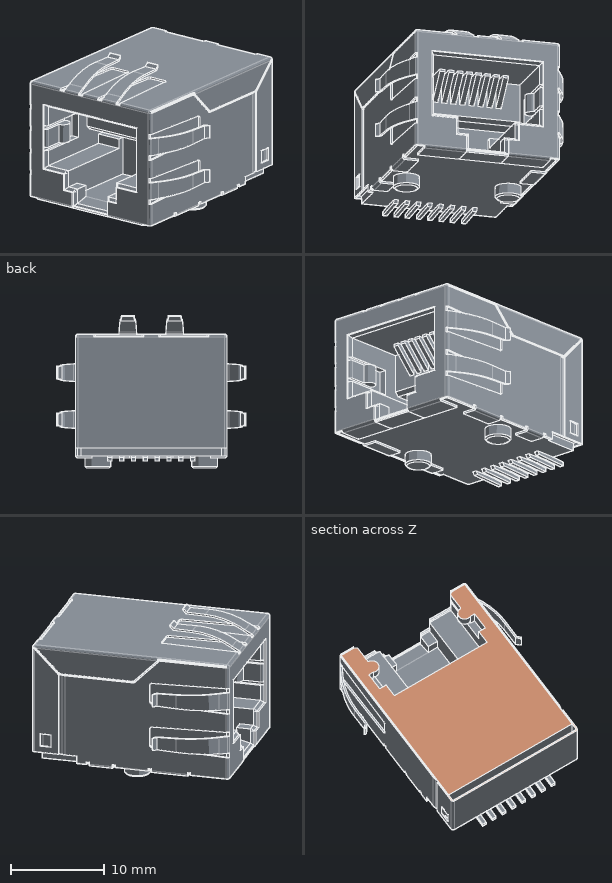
import cadquery as cq
import math

MITRE = math.tan(math.radians(22.5))


WIDTH = 16.24
HALF_WIDTH = WIDTH / 2
DEPTH = 21.93
HEIGHT = 13.28
SHEET = 0.2
BEND_RADIUS = 0.3
INNER_BEND = BEND_RADIUS - SHEET

WALL_BOTTOM = SHEET
REAR_STEP_Y = 16.94
REAR_STEP_Z = 1.05

FRONT_TAB_INNER_X = 2.35
FRONT_TAB_OUTER_X = 7.05
FRONT_TAB_LENGTH = 2.78
SIDE_TAB_INNER_X = 6.32
SIDE_TABS_Y = [(4.63, 8.65), (13.0, 15.55)]
RELIEF_WIDTH = 0.34
RELIEF_TOP = 0.5

FLAP_FRONT_Y = 7.95
FLAP_REAR_Y = 21.52
FLAP_TOP = HEIGHT - BEND_RADIUS
FLAP_BOTTOM = 10.32
SLIT = 0.15

JOGGLE_FRONT_Y = 18.22
JOGGLE_REAR_Y = 18.95
JOGGLE_DEPTH = 0.14

WINDOW_Y = (19.83, 21.05)
WINDOW_Z = (1.78, 3.18)

REAR_SLOT_X = (0.81, 6.15)
REAR_SLOT_FRONT_Y = 21.43
REAR_SLOT_CORNER = 0.15

SPRING_OFFSET = 2.5
SIDE_SPRING_MID_Z = 6.64
SPRING_ROOT_HALF = 0.97
SPRING_TIP_HALF = 0.7
SPRING_ARC_START_Y = 0.97
SPRING_ARC_START_H = 0.38
SPRING_FLAT_START_Y = 5.45
SPRING_FLAT_END_Y = 7.52
SPRING_FLAT_H = 1.63
SPRING_TIP_RUN = 0.38
SPRING_TIP_CORNER = 0.14
SPRING_SLOT_LENGTH = 8.83
SPRING_SLOT_ROOT_HALF = 1.47
SPRING_SLOT_TIP_HALF = 1.17
SPRING_SLOT_CORNER = 0.18

HOUSING_REAR_Y = 20.95
HOUSING_HALF_WIDTH = HALF_WIDTH - SHEET
HOUSING_TOP = HEIGHT - SHEET
REAR_FOOT_INSET = 0.38
LATCH_RAMP_REAR_Y = 20.73
LATCH_ROOT_X = 6.77

MOUTH_HALF = 6.25
MOUTH_TOP = 11.0
LEDGE_Z = 3.65
CHANNEL_HALF = 3.52
LUG_Z = 1.83
LATCH_HALF = FRONT_TAB_INNER_X
MOUTH_CHAMFER = 0.32

LUG_REAR_Y = 2.03
FLOOR_Z = 0.88
CAVITY_REAR_Y = 10.15
COMB_FACE_Y = 7.45
COMB_BOTTOM = 6.5
COMB_CHAMFER = 0.43
REST_LENGTH = 0.68
REST_TOP = 5.04

POCKET_Z = (5.7, 8.51)
POCKET_HALF = 6.77
POCKET_REAR_Y = 5.87
ARM_Z = (6.07, 8.13)
ARM_REAR_Y = 3.84
BUMP_RADIUS = 0.75
BUMP_Y = 3.15

CONTACT_COUNT = 8
CONTACT_PITCH = 1.02
CONTACT_WIDTH = 0.59
CONTACT_FRONT_Y = 4.85
CONTACT_BEND_Z = 10.43
CONTACT_LOW_Z = 7.8
PIN_PITCH = 1.26
PIN_WIDTH = 0.47
PIN_TIP_Y = 22.58
PIN_HEEL_Y = 18.45
PIN_HEEL_RUN = 0.27
PIN_SHOULDER_Y = 21.23
PIN_SOLE_Z = -0.14
PIN_TIP_Z = (-0.32, 0.1)

PEG_X = 5.71
PEG_Y = 10.85
PEG_DIAMETER = 2.8
PEG_BOTTOM = -1.05
PEG_CHAMFER = 0.18


def block(x_range, y_range, z_range):
    """Axis-aligned block from its limits."""
    size = [high - low for low, high in (x_range, y_range, z_range)]
    corner = (x_range[0], y_range[0], z_range[0])
    return cq.Workplane("XY").box(*size, centered=False).translate(corner)


def both_sides(shape):
    """The shape together with its mirror image across the middle plane."""
    return shape.union(shape.mirror("YZ"))


def prism_across_x(points, x_start, x_end):
    """Outline of (y, z) points carried from x_start to x_end."""
    return cq.Workplane("YZ").polyline(points).close().extrude(x_end - x_start).translate((x_start, 0, 0))


def opening_outline(bottom):
    """Stepped plug opening as (x, z) points, open at the bottom step."""
    right = [
        (LATCH_HALF, bottom),
        (LATCH_HALF, LUG_Z),
        (CHANNEL_HALF, LUG_Z),
        (CHANNEL_HALF, LEDGE_Z),
        (MOUTH_HALF, LEDGE_Z),
        (MOUTH_HALF, MOUTH_TOP),
    ]
    left = [(-x, z) for x, z in reversed(right)]
    return right + left


def shield_shell():
    """Closed sheet box with rounded bends."""
    outer = block((-HALF_WIDTH, HALF_WIDTH), (0, DEPTH), (0, HEIGHT)).edges().fillet(BEND_RADIUS)
    inner = block(
        (-HOUSING_HALF_WIDTH, HOUSING_HALF_WIDTH), (SHEET, DEPTH - SHEET), (SHEET, HOUSING_TOP)
    ).edges().fillet(INNER_BEND)
    return outer.cut(inner)


def underside_cut():
    """Everything removed below the walls, leaving the folded tabs."""
    cut = block((-HALF_WIDTH, HALF_WIDTH), (0, DEPTH), (0, WALL_BOTTOM))
    front_tab = block((FRONT_TAB_INNER_X, FRONT_TAB_OUTER_X), (0, FRONT_TAB_LENGTH), (0, WALL_BOTTOM))
    cut = cut.cut(both_sides(front_tab))
    for tab_y in SIDE_TABS_Y:
        side_tab = block((SIDE_TAB_INNER_X, HALF_WIDTH), tab_y, (0, WALL_BOTTOM))
        cut = cut.cut(both_sides(side_tab))
        for relief_y in (tab_y[0] - RELIEF_WIDTH, tab_y[1]):
            relief = block(
                (HOUSING_HALF_WIDTH, HALF_WIDTH), (relief_y, relief_y + RELIEF_WIDTH), (0, RELIEF_TOP)
            )
            cut = cut.union(both_sides(relief))
    rear = block((-HALF_WIDTH, HALF_WIDTH), (REAR_STEP_Y, DEPTH), (0, REAR_STEP_Z))
    return cut.union(rear)


def flap_slit():
    """Slit around the side flap, running on to the front along the top bend."""
    run = FLAP_TOP - FLAP_BOTTOM
    end_gap = SLIT * math.sqrt(2)
    corner_gap = SLIT * MITRE
    outline = [
        (FLAP_FRONT_Y, FLAP_TOP),
        (FLAP_FRONT_Y + run, FLAP_BOTTOM),
        (FLAP_REAR_Y - run, FLAP_BOTTOM),
        (FLAP_REAR_Y, FLAP_TOP),
        (FLAP_REAR_Y + end_gap, FLAP_TOP),
        (FLAP_REAR_Y - run + corner_gap, FLAP_BOTTOM - SLIT),
        (FLAP_FRONT_Y + run - corner_gap, FLAP_BOTTOM - SLIT),
        (FLAP_FRONT_Y - end_gap, FLAP_TOP),
    ]
    slit = prism_across_x(outline, HOUSING_HALF_WIDTH, HALF_WIDTH)
    seam = block(
        (HOUSING_HALF_WIDTH, HALF_WIDTH), (BEND_RADIUS, FLAP_FRONT_Y), (FLAP_TOP, FLAP_TOP + SLIT)
    )
    return both_sides(slit.union(seam))


def joggle_cut():
    """S-shaped cut where each side panel curves in toward the rear flap."""
    mid_y = (JOGGLE_FRONT_Y + JOGGLE_REAR_Y) / 2
    mid_x = HALF_WIDTH - JOGGLE_DEPTH / 2
    clear_x = HALF_WIDTH + SHEET
    wedge = (
        cq.Workplane("XY")
        .moveTo(clear_x, JOGGLE_FRONT_Y - SHEET)
        .lineTo(HALF_WIDTH, JOGGLE_FRONT_Y - SHEET)
        .lineTo(HALF_WIDTH, JOGGLE_FRONT_Y)
        .tangentArcPoint((mid_x, mid_y), relative=False)
        .tangentArcPoint((HALF_WIDTH - JOGGLE_DEPTH, JOGGLE_REAR_Y), relative=False)
        .lineTo(clear_x, JOGGLE_REAR_Y)
        .close()
        .extrude(FLAP_BOTTOM - SLIT)
    )
    return both_sides(wedge)


def latch_windows():
    return both_sides(block((HOUSING_HALF_WIDTH, HALF_WIDTH), WINDOW_Y, WINDOW_Z))


def rear_slots():
    """Two slots through the bend between the top panel and the rear wall."""
    slot = block(REAR_SLOT_X, (REAR_SLOT_FRONT_Y, DEPTH), (HEIGHT - BEND_RADIUS, HEIGHT))
    slot = slot.edges("|Z and <Y").chamfer(REAR_SLOT_CORNER)
    return both_sides(slot)


def plan_taper(root_half, tip_half, length, corner):
    """Tapered strip outline as (across, y) points with a bevelled free end."""
    right = [(root_half, 0), (tip_half, length - corner), (tip_half - corner, length)]
    left = [(-x, y) for x, y in reversed(right)]
    return right + left


def spring_slot():
    """Slot around a spring, in a frame whose Z = 0 is the outer sheet face."""
    outline = plan_taper(
        SPRING_SLOT_ROOT_HALF, SPRING_SLOT_TIP_HALF, SPRING_SLOT_LENGTH, SPRING_SLOT_CORNER
    )
    slot = cq.Workplane("XY").polyline(outline).close().extrude(SHEET).translate((0, 0, -SHEET))
    root = block((-SPRING_ROOT_HALF, SPRING_ROOT_HALF), (0, BEND_RADIUS), (-SHEET, 0))
    return slot.cut(root)


def spring():
    """Bowed spring finger, in a frame whose Z = 0 is the outer sheet face."""
    arc_run = SPRING_FLAT_START_Y - SPRING_ARC_START_Y
    arc_rise = SPRING_FLAT_H - SPRING_ARC_START_H
    arc_radius = (arc_run**2 + arc_rise**2) / (2 * arc_rise)
    arc_angle = math.asin(arc_run / arc_radius)
    arc_centre_h = SPRING_FLAT_H - arc_radius

    def arc_point(radius, angle):
        return (SPRING_FLAT_START_Y - radius * math.sin(angle), arc_centre_h + radius * math.cos(angle))

    inner_radius = arc_radius - SHEET
    root_run = BEND_RADIUS * math.sin(arc_angle)
    root = (BEND_RADIUS - root_run, BEND_RADIUS * math.cos(arc_angle) - BEND_RADIUS)
    kink = SHEET * MITRE
    normal = SHEET / math.sqrt(2)
    tip_y = SPRING_FLAT_END_Y + SPRING_TIP_RUN
    tip_h = SPRING_FLAT_H + SPRING_TIP_RUN
    profile = (
        cq.Workplane("YZ")
        .moveTo(BEND_RADIUS, -SHEET)
        .lineTo(*root)
        .lineTo(*arc_point(arc_radius, arc_angle))
        .threePointArc(arc_point(arc_radius, arc_angle / 2), arc_point(arc_radius, 0))
        .lineTo(SPRING_FLAT_END_Y, SPRING_FLAT_H)
        .lineTo(tip_y, tip_h)
        .lineTo(tip_y + normal, tip_h - normal)
        .lineTo(SPRING_FLAT_END_Y + kink, SPRING_FLAT_H - SHEET)
        .lineTo(*arc_point(inner_radius, 0))
        .threePointArc(arc_point(inner_radius, arc_angle / 2), arc_point(inner_radius, arc_angle))
        .lineTo(BEND_RADIUS + INNER_BEND, -SHEET)
        .close()
    )
    strip = profile.extrude(SPRING_ROOT_HALF, both=True)
    outline = plan_taper(SPRING_ROOT_HALF, SPRING_TIP_HALF, tip_y + normal, SPRING_TIP_CORNER)
    plan = cq.Workplane("XY").polyline(outline).close().extrude(tip_h + SHEET).translate((0, 0, -SHEET))
    return strip.intersect(plan)


def spring_places():
    """Turn about Y and position of each spring on the top and on both sides."""
    places = []
    for offset in (-SPRING_OFFSET, SPRING_OFFSET):
        places.append((0, (offset, 0, HEIGHT)))
        places.append((-90, (-HALF_WIDTH, 0, SIDE_SPRING_MID_Z + offset)))
        places.append((90, (HALF_WIDTH, 0, SIDE_SPRING_MID_Z + offset)))
    return places


def place(shape, turn, position):
    return shape.rotate((0, 0, 0), (0, 1, 0), turn).translate(position)


def make_shield():
    shield = shield_shell()
    shield = shield.cut(underside_cut())
    opening = cq.Workplane("XZ").polyline(opening_outline(0)).close().extrude(-SHEET)
    shield = shield.cut(opening)
    for cut in (flap_slit(), joggle_cut(), latch_windows(), rear_slots()):
        shield = shield.cut(cut)
    for turn, position in spring_places():
        shield = shield.cut(place(spring_slot(), turn, position))
        shield = shield.union(place(spring(), turn, position))
    return shield


def housing_body():
    """Plastic block filling the shield, narrowed at the rear foot, with a pad between the front tabs."""
    body = block(
        (-HOUSING_HALF_WIDTH, HOUSING_HALF_WIDTH), (SHEET, HOUSING_REAR_Y), (WALL_BOTTOM, HOUSING_TOP)
    )
    body = body.edges("not >Y").fillet(INNER_BEND)
    pad = block((-LATCH_HALF, LATCH_HALF), (SHEET, FRONT_TAB_LENGTH), (0, WALL_BOTTOM))
    foot_side = HOUSING_HALF_WIDTH - REAR_FOOT_INSET
    foot_cut = block(
        (foot_side, HOUSING_HALF_WIDTH), (REAR_STEP_Y, HOUSING_REAR_Y), (WALL_BOTTOM, REAR_STEP_Z)
    )
    return body.cut(both_sides(foot_cut)).union(pad)


def plug_cavity():
    """Chamfered mouth, throat between the lugs, and the space behind them."""
    outline = opening_outline(WALL_BOTTOM)
    mouth = (
        cq.Workplane("XZ", origin=(0, SHEET, 0)).polyline(outline).close()
        .extrude(-MOUTH_CHAMFER, taper=45)
    )
    inner_ledge = LEDGE_Z + MOUTH_CHAMFER
    inner_half = MOUTH_HALF - MOUTH_CHAMFER
    inner_top = MOUTH_TOP - MOUTH_CHAMFER
    channel = CHANNEL_HALF - MOUTH_CHAMFER
    latch = LATCH_HALF - MOUTH_CHAMFER
    throat_y = SHEET + MOUTH_CHAMFER
    sill_z = WALL_BOTTOM + MOUTH_CHAMFER

    ramp = [(throat_y, sill_z), (LUG_REAR_Y, FLOOR_Z), (LUG_REAR_Y, inner_ledge), (throat_y, inner_ledge)]
    cavity = mouth.union(prism_across_x(ramp, -latch, latch))
    cavity = cavity.union(
        block((-channel, channel), (throat_y, LUG_REAR_Y), (LUG_Z + MOUTH_CHAMFER, inner_ledge))
    )
    cavity = cavity.union(block((-channel, channel), (LUG_REAR_Y, CAVITY_REAR_Y), (FLOOR_Z, inner_ledge)))

    comb_root = COMB_BOTTOM - COMB_CHAMFER
    upper = [
        (throat_y, inner_ledge),
        (CAVITY_REAR_Y, inner_ledge),
        (CAVITY_REAR_Y, comb_root),
        (COMB_FACE_Y + COMB_CHAMFER, comb_root),
        (COMB_FACE_Y, COMB_BOTTOM),
        (COMB_FACE_Y, inner_top),
        (throat_y, inner_top),
    ]
    cavity = cavity.union(prism_across_x(upper, -inner_half, inner_half))
    rest = block(
        (channel, inner_half), (CAVITY_REAR_Y - REST_LENGTH, CAVITY_REAR_Y), (inner_ledge, REST_TOP)
    )
    return cavity.cut(both_sides(rest))


def side_pockets():
    """Pocket in each side wall, shallow at the mouth and deeper behind the arm."""
    middle = CHANNEL_HALF
    shallow = block((middle, MOUTH_HALF), (SHEET, ARM_REAR_Y), POCKET_Z)
    deep = block((middle, POCKET_HALF), (ARM_REAR_Y, POCKET_REAR_Y), POCKET_Z)
    return both_sides(shallow.union(deep))


def side_arms():
    """Arm along each pocket, rounded at the mouth and carrying a round bump."""
    face_x = MOUTH_HALF - MOUTH_CHAMFER
    arm = block((face_x, POCKET_HALF), (SHEET, ARM_REAR_Y), ARM_Z)
    arm = arm.edges("|Z and <X and <Y").fillet(MOUTH_CHAMFER)
    bump = cq.Workplane("XY").circle(BUMP_RADIUS).extrude(ARM_Z[1] - ARM_Z[0])
    return both_sides(arm.union(bump.translate((face_x, BUMP_Y, ARM_Z[0]))))


def row_positions(pitch):
    return [(i - (CONTACT_COUNT - 1) / 2) * pitch for i in range(CONTACT_COUNT)]


def contact(x):
    """Contact sloping down from the cavity roof to the comb face."""
    roof = MOUTH_TOP - MOUTH_CHAMFER
    outline = [
        (CONTACT_FRONT_Y, roof),
        (CONTACT_FRONT_Y, CONTACT_BEND_Z),
        (COMB_FACE_Y, CONTACT_LOW_Z),
        (COMB_FACE_Y, roof),
    ]
    return prism_across_x(outline, x - CONTACT_WIDTH / 2, x + CONTACT_WIDTH / 2)


def solder_pin(x):
    """Flat solder foot reaching out behind the housing."""
    outline = [
        (PIN_HEEL_Y, WALL_BOTTOM),
        (PIN_HEEL_Y + PIN_HEEL_RUN, PIN_SOLE_Z),
        (PIN_TIP_Y, PIN_TIP_Z[0]),
        (PIN_TIP_Y, PIN_TIP_Z[1]),
        (PIN_SHOULDER_Y, WALL_BOTTOM),
    ]
    return prism_across_x(outline, x - PIN_WIDTH / 2, x + PIN_WIDTH / 2)


def board_pegs():
    height = WALL_BOTTOM - PEG_BOTTOM
    peg = cq.Workplane("XY").circle(PEG_DIAMETER / 2).extrude(height).faces("<Z").chamfer(PEG_CHAMFER)
    return both_sides(peg.translate((PEG_X, PEG_Y, PEG_BOTTOM)))


def shield_latches():
    """Latches in the shield windows, proud at the front and sloping back to the housing side."""
    outline = [
        (LATCH_ROOT_X, WINDOW_Y[0]),
        (HALF_WIDTH, WINDOW_Y[0]),
        (HOUSING_HALF_WIDTH, LATCH_RAMP_REAR_Y),
        (HOUSING_HALF_WIDTH, WINDOW_Y[1]),
        (LATCH_ROOT_X, WINDOW_Y[1]),
    ]
    height = WINDOW_Z[1] - WINDOW_Z[0]
    latch = cq.Workplane("XY").polyline(outline).close().extrude(height).translate((0, 0, WINDOW_Z[0]))
    return both_sides(latch)


def make_housing():
    housing = housing_body().cut(plug_cavity()).cut(side_pockets())
    for feature in (side_arms(), board_pegs(), shield_latches()):
        housing = housing.union(feature)
    for x in row_positions(CONTACT_PITCH):
        housing = housing.union(contact(x))
    for x in row_positions(PIN_PITCH):
        housing = housing.union(solder_pin(x))
    return housing


shield = make_shield()
housing = make_housing()

result = cq.Compound.makeCompound([*shield.solids().vals(), *housing.solids().vals()])